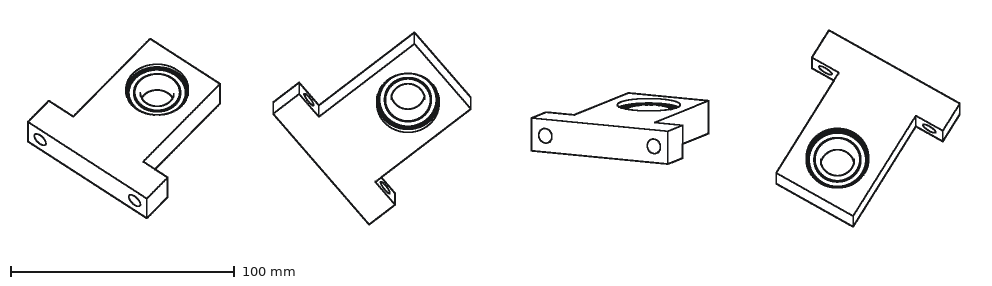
import cadquery as cq

total_length = 70.0
foot_width = 68.0
foot_depth = 15.0
stem_width = 40.0
thickness = 15.0

mount_hole_diameter = 6.6
mount_hole_spacing = 54.0

seat_center_y = 50.0
bearing_outer_diameter = 28.0
bearing_bore_diameter = 15.0
bearing_width = 9.0
bearing_sink = 2.0

rim_inner_diameter = 27.0
shield_outer_diameter = 25.8
shield_sink = 0.4
shield_chamfer = 0.3

inner_ring_outer_diameter = 21.0
inner_ring_chamfer = 0.5
bore_fillet = 0.5

bearing_bottom = thickness - bearing_sink - bearing_width


def make_housing():
    foot = cq.Workplane("XY").box(foot_width, foot_depth, thickness, centered=(True, False, False))
    stem = cq.Workplane("XY").box(stem_width, total_length, thickness, centered=(True, False, False))
    seat = (
        cq.Workplane("XY", origin=(0, seat_center_y, 0))
        .circle(bearing_outer_diameter / 2)
        .extrude(thickness)
    )
    mount_holes = (
        cq.Workplane("XZ")
        .pushPoints([(side * mount_hole_spacing / 2, thickness / 2) for side in (-1, 1)])
        .circle(mount_hole_diameter / 2)
        .extrude(-foot_depth)
    )
    return foot.union(stem).cut(seat).cut(mount_holes)


def bearing_layer(outer_diameter, sink):
    """Disc on the bearing axis whose two faces lie `sink` inside the bearing faces."""
    return (
        cq.Workplane("XY", origin=(0, seat_center_y, bearing_bottom + sink))
        .circle(outer_diameter / 2)
        .extrude(bearing_width - 2 * sink)
    )


def make_outer_ring():
    rim = bearing_layer(bearing_outer_diameter, 0).cut(bearing_layer(rim_inner_diameter, 0))
    ledge = bearing_layer(rim_inner_diameter, shield_sink).cut(bearing_layer(shield_outer_diameter, 0))
    shield = bearing_layer(shield_outer_diameter, shield_sink).edges().chamfer(shield_chamfer)
    inner_ring_hole = bearing_layer(inner_ring_outer_diameter, 0)
    return rim.union(ledge).union(shield).cut(inner_ring_hole)


def make_inner_ring():
    blank = bearing_layer(inner_ring_outer_diameter, 0).edges().chamfer(inner_ring_chamfer)
    bored = blank.cut(bearing_layer(bearing_bore_diameter, 0))
    bore_edges = cq.selectors.RadiusNthSelector(0)
    return bored.edges(bore_edges).fillet(bore_fillet)


housing = make_housing()
outer_ring = make_outer_ring()
inner_ring = make_inner_ring()

result = cq.Compound.makeCompound([housing.val(), outer_ring.val(), inner_ring.val()])